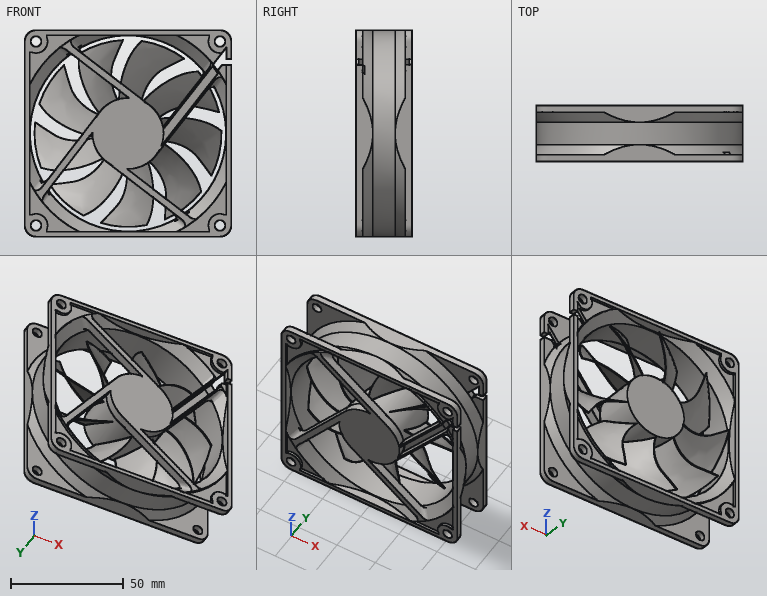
import cadquery as cq
import math


FRAME_SIDE = 92.0
FRAME_DEPTH = 25.0
FRAME_CORNER_RADIUS = 5.1
FLANGE_THICKNESS = 3.0
HALF_SIDE = FRAME_SIDE / 2
FRONT_Y = -FRAME_DEPTH / 2
BACK_Y = FRAME_DEPTH / 2
FLANGE_SPACING = FRAME_DEPTH - 2 * FLANGE_THICKNESS

TUBE_RADIUS = HALF_SIDE
TUBE_FLARE_RADIUS = 48.7
TUBE_BAND_WIDTH = 9.9
BORE_RADIUS = 43.6
BORE_MOUTH_RADIUS = 48.85
BORE_BAND_WIDTH = 16.0

LIP_WIDTH = 2.2
POCKET_DEPTH = 1.3
POCKET_HALF_SIDE = HALF_SIDE - LIP_WIDTH
POCKET_SIDE = 2 * POCKET_HALF_SIDE
HOLE_OFFSET = 40.9
HOLE_DIAMETER = 4.6
BOSS_RADIUS = 5.15
BOSS_NECK_WIDTH = 9.4

PLATE_RADIUS = 15.8
PLATE_THICKNESS = 3.9
PLATE_BACK_Y = FRONT_Y + PLATE_THICKNESS
STRUT_WIDTH = 3.0
STRUT_ANGLES = (142.5, 232.5, 322.5)
STRUT_END_FILLET = 2.0

CHANNEL_ANGLE = 52.0
CHANNEL_WIDTH = 5.3
CHANNEL_HEIGHT = 4.8
CHANNEL_WALL = 0.7
CHANNEL_FLOOR = 0.7
SLOT_INNER_OFFSET = 10.95
SLOT_OUTER_OFFSET = 14.2
GAP_INNER_X = 41.8
GAP_BOTTOM_Z = 30.5
GAP_TOP_Z = 33.1

HUB_RADIUS = PLATE_RADIUS
HUB_BACK_Y = 12.0
BLADE_COUNT = 9
BLADE_TIP_RADIUS = 41.7
BLADE_THICKNESS = 0.55
BLADE_FRONT_EDGE = [
    (13.8, 67.0, -5.5),
    (20.2, 60.5, -7.0),
    (29.9, 52.3, -6.0),
    (36.8, 46.5, -3.9),
    (43.7, 39.0, -0.5),
]
BLADE_BACK_EDGE = [
    (13.8, 25.0, 11.3),
    (20.2, 28.3, 9.7),
    (29.9, 23.8, 9.4),
    (36.8, 17.0, 10.7),
    (43.7, 11.8, 11.3),
]


def facing_front(y):
    """Sketch plane at the given Y, with X to the right and Z up; extruding by -d goes d towards +Y."""
    return cq.Workplane("XZ", origin=(0, y, 0))


def disc(radius, front_y, back_y):
    return facing_front(front_y).circle(radius).extrude(front_y - back_y)


def square_bar(side, front_y, back_y):
    return facing_front(front_y).rect(side, side).extrude(front_y - back_y)


def revolved(profile):
    """Solid of revolution about the fan axis from (radius, Y) points."""
    return cq.Workplane("XY").polyline(profile).close().revolve(360, (0, 0, 0), (0, 1, 0))


def flared_core(band_radius, band_width, end_radius, length):
    """Solid round core: a cylindrical band that flares to end_radius at both ends."""
    half_band = band_width / 2
    end_y = length / 2
    profile = [
        (0, -end_y),
        (end_radius, -end_y),
        (band_radius, -half_band),
        (band_radius, half_band),
        (end_radius, end_y),
        (0, end_y),
    ]
    return revolved(profile)


def tangent_bar(angle, inner_offset, outer_offset, front_y, back_y):
    """Bar from beside the fan axis outwards at an angle, between two offsets on its clockwise side."""
    length = BORE_MOUTH_RADIUS + PLATE_RADIUS
    return (
        facing_front(front_y)
        .transformed(rotate=(0, 0, angle))
        .center(length / 2, -(inner_offset + outer_offset) / 2)
        .rect(length, outer_offset - inner_offset)
        .extrude(front_y - back_y)
    )


def make_shell():
    """Two square flanges joined by the flared tube, before the pockets are sunk."""
    block = square_bar(FRAME_SIDE, FRONT_Y, BACK_Y).edges("|Y").fillet(FRAME_CORNER_RADIUS)
    tube = flared_core(TUBE_RADIUS, TUBE_BAND_WIDTH, TUBE_FLARE_RADIUS, FLANGE_SPACING)
    around_tube = square_bar(2 * FRAME_SIDE, -FLANGE_SPACING / 2, FLANGE_SPACING / 2).cut(tube)
    bore = flared_core(BORE_RADIUS, BORE_BAND_WIDTH, BORE_MOUTH_RADIUS, FRAME_DEPTH)
    bore = bore.intersect(square_bar(POCKET_SIDE, FRONT_Y, BACK_Y))
    return block.cut(around_tube).cut(bore)


def make_arm(angle, width, height):
    """Bar from the motor plate to the flared bore, filleted where its sides meet the bore wall.

    The bar and wall are made deeper than needed, filleted, and trimmed to the arm's height.
    """
    narrow_y = -BORE_BAND_WIDTH / 2
    wide_y = 2 * FRONT_Y - narrow_y
    wide_radius = 2 * BORE_MOUTH_RADIUS - BORE_RADIUS
    cone = revolved([(0, wide_y), (wide_radius, wide_y), (BORE_RADIUS, narrow_y), (0, narrow_y)])
    wall = disc(FRAME_SIDE, wide_y, narrow_y).cut(cone)
    bar = tangent_bar(angle, PLATE_RADIUS - width, PLATE_RADIUS, wide_y, narrow_y)
    arm = wall.union(bar).edges("%HYPERBOLA").fillet(STRUT_END_FILLET)
    wall_middle = (BORE_RADIUS + TUBE_RADIUS) / 2
    reach = flared_core(wall_middle, BORE_BAND_WIDTH, BORE_MOUTH_RADIUS, FRAME_DEPTH)
    reach = reach.intersect(square_bar(POCKET_SIDE, FRONT_Y, FRONT_Y + height))
    return arm.intersect(reach).cut(disc(PLATE_RADIUS, FRONT_Y, BACK_Y))


def corner_points(x, z):
    return [(sx * x, sz * z) for sx in (-1, 1) for sz in (-1, 1)]


def make_pocket(front_y, back_y):
    """Pocket inside the lip, around the bore mouth and the screw bosses."""
    depth = front_y - back_y
    holes = corner_points(HOLE_OFFSET, HOLE_OFFSET)
    bosses = facing_front(front_y).pushPoints(holes).circle(BOSS_RADIUS).extrude(depth)
    neck_length = 2 * (POCKET_HALF_SIDE - HOLE_OFFSET)
    upright_necks = (
        facing_front(front_y)
        .pushPoints(corner_points(HOLE_OFFSET, POCKET_HALF_SIDE))
        .rect(BOSS_NECK_WIDTH, neck_length)
        .extrude(depth)
    )
    level_necks = (
        facing_front(front_y)
        .pushPoints(corner_points(POCKET_HALF_SIDE, HOLE_OFFSET))
        .rect(neck_length, BOSS_NECK_WIDTH)
        .extrude(depth)
    )
    pocket = square_bar(POCKET_SIDE, front_y, back_y).cut(disc(BORE_MOUTH_RADIUS, front_y, back_y))
    return pocket.cut(bosses).cut(upright_necks).cut(level_necks)


def make_screw_holes():
    points = corner_points(HOLE_OFFSET, HOLE_OFFSET)
    return facing_front(FRONT_Y).pushPoints(points).circle(HOLE_DIAMETER / 2).extrude(-FRAME_DEPTH)


def make_channel_groove():
    """Open front of the cable channel, from the motor plate to the bore mouth."""
    inner_offset = PLATE_RADIUS - CHANNEL_WIDTH + CHANNEL_WALL
    outer_offset = PLATE_RADIUS - CHANNEL_WALL
    floor_y = FRONT_Y + CHANNEL_HEIGHT - CHANNEL_FLOOR
    groove = tangent_bar(CHANNEL_ANGLE, inner_offset, outer_offset, FRONT_Y, floor_y)
    mouth = disc(BORE_MOUTH_RADIUS, FRONT_Y, BACK_Y)
    return groove.intersect(mouth).cut(disc(PLATE_RADIUS, FRONT_Y, BACK_Y))


def make_cable_slot():
    """Slot through both flanges beyond the tube, with a gap out through the +X side."""
    slot = tangent_bar(CHANNEL_ANGLE, SLOT_INNER_OFFSET, SLOT_OUTER_OFFSET, FRONT_Y, BACK_Y)
    slot = slot.intersect(square_bar(POCKET_SIDE, FRONT_Y, BACK_Y))
    slot = slot.cut(disc(TUBE_FLARE_RADIUS, FRONT_Y, BACK_Y))
    gap = (
        facing_front(FRONT_Y)
        .center((GAP_INNER_X + HALF_SIDE) / 2, (GAP_BOTTOM_Z + GAP_TOP_Z) / 2)
        .rect(HALF_SIDE - GAP_INNER_X, GAP_TOP_Z - GAP_BOTTOM_Z)
        .extrude(-FRAME_DEPTH)
    )
    return slot.union(gap)


def make_frame():
    frame = make_shell().union(disc(PLATE_RADIUS, FRONT_Y, PLATE_BACK_Y))
    for angle in STRUT_ANGLES:
        frame = frame.union(make_arm(angle, STRUT_WIDTH, PLATE_THICKNESS))
    frame = frame.union(make_arm(CHANNEL_ANGLE, CHANNEL_WIDTH, CHANNEL_HEIGHT))
    frame = frame.cut(make_pocket(FRONT_Y, FRONT_Y + POCKET_DEPTH))
    frame = frame.cut(make_pocket(BACK_Y - POCKET_DEPTH, BACK_Y))
    frame = frame.cut(make_screw_holes())
    return frame.cut(make_channel_groove()).cut(make_cable_slot())


def blade_edge(points):
    """Smooth curve through (radius, angle, Y) points."""
    vectors = []
    for radius, angle, y in points:
        turn = math.radians(angle)
        vectors.append(cq.Vector(radius * math.cos(turn), y, radius * math.sin(turn)))
    return cq.Edge.makeSpline(vectors)


def make_blade():
    """Twisted sheet ruled between the two edges, thickened along Y and trimmed to the tip radius."""
    sheet = cq.Face.makeRuledSurface(blade_edge(BLADE_FRONT_EDGE), blade_edge(BLADE_BACK_EDGE))
    blade = cq.Workplane(cq.Solid.extrudeLinear(sheet, cq.Vector(0, BLADE_THICKNESS, 0)))
    return blade.intersect(disc(BLADE_TIP_RADIUS, PLATE_BACK_Y, BACK_Y))


def make_rotor():
    """Hub seated against the motor plate, with equally spaced blades."""
    rotor = disc(HUB_RADIUS, PLATE_BACK_Y, HUB_BACK_Y)
    blade = make_blade()
    for index in range(BLADE_COUNT):
        rotor = rotor.union(blade.rotate((0, 0, 0), (0, 1, 0), index * 360 / BLADE_COUNT))
    return rotor


frame = make_frame()
rotor = make_rotor()
result = cq.Compound.makeCompound([frame.solids().val(), rotor.solids().val()])